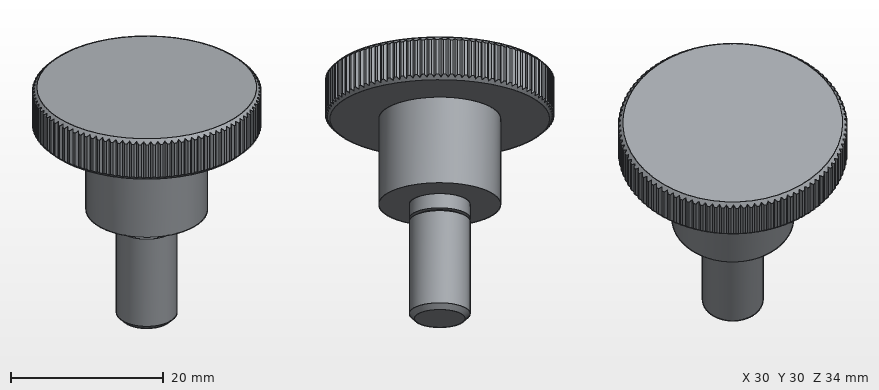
import math

import cadquery as cq

STEM_LENGTH = 16.0
HUB_LENGTH = 12.0
HEAD_HEIGHT = 6.0

HEAD_RADIUS = 15.0
HUB_RADIUS = 8.0
STEM_RADIUS = 4.0

HEAD_CHAMFER = 0.6

NECK_LENGTH = 2.0

THREAD_DEPTH = 0.68
NOTCH_SLOPE = 30.0

KNURL_COUNT = 100
KNURL_DEPTH = 0.3
KNURL_ANGLE = 90.0


def ring_point(radius, angle):
    """Point at a given radius and angle (radians) about the part axis."""
    return (radius * math.cos(angle), radius * math.sin(angle))


def make_head():
    """Chamfered disc whose rim is cut into a straight knurl."""
    disc = (
        cq.Workplane("XY", origin=(0, 0, HUB_LENGTH))
        .circle(HEAD_RADIUS)
        .extrude(HEAD_HEIGHT)
        .edges()
        .chamfer(HEAD_CHAMFER)
    )

    pitch = 2 * math.pi / KNURL_COUNT
    root_radius = HEAD_RADIUS - KNURL_DEPTH
    half_width = KNURL_DEPTH * math.tan(math.radians(KNURL_ANGLE / 2))
    half_groove = math.asin(half_width / HEAD_RADIUS)

    outline = cq.Workplane("XY", origin=(0, 0, HUB_LENGTH)).moveTo(root_radius, 0)
    for tooth in range(KNURL_COUNT):
        start = tooth * pitch
        end = start + pitch
        land_start = ring_point(HEAD_RADIUS, start + half_groove)
        land_middle = ring_point(HEAD_RADIUS, start + pitch / 2)
        land_end = ring_point(HEAD_RADIUS, end - half_groove)
        outline = outline.lineTo(*land_start).threePointArc(land_middle, land_end)
        if tooth < KNURL_COUNT - 1:
            outline = outline.lineTo(*ring_point(root_radius, end))

    return disc.intersect(outline.close().extrude(HEAD_HEIGHT))


def make_shank():
    """Hub, neck, notch and chamfered stem as one turned profile."""
    root_radius = STEM_RADIUS - THREAD_DEPTH
    notch_height = THREAD_DEPTH * math.tan(math.radians(NOTCH_SLOPE))
    profile = [
        (0, HUB_LENGTH),
        (HUB_RADIUS, HUB_LENGTH),
        (HUB_RADIUS, 0),
        (STEM_RADIUS, 0),
        (STEM_RADIUS, -NECK_LENGTH),
        (root_radius, -NECK_LENGTH),
        (STEM_RADIUS, -NECK_LENGTH - notch_height),
        (STEM_RADIUS, -STEM_LENGTH + THREAD_DEPTH),
        (root_radius, -STEM_LENGTH),
        (0, -STEM_LENGTH),
    ]
    axis_start = (0, 0)
    axis_end = (0, 1)
    return cq.Workplane("XZ").polyline(profile).close().revolve(360, axis_start, axis_end)


result = make_head().union(make_shank())